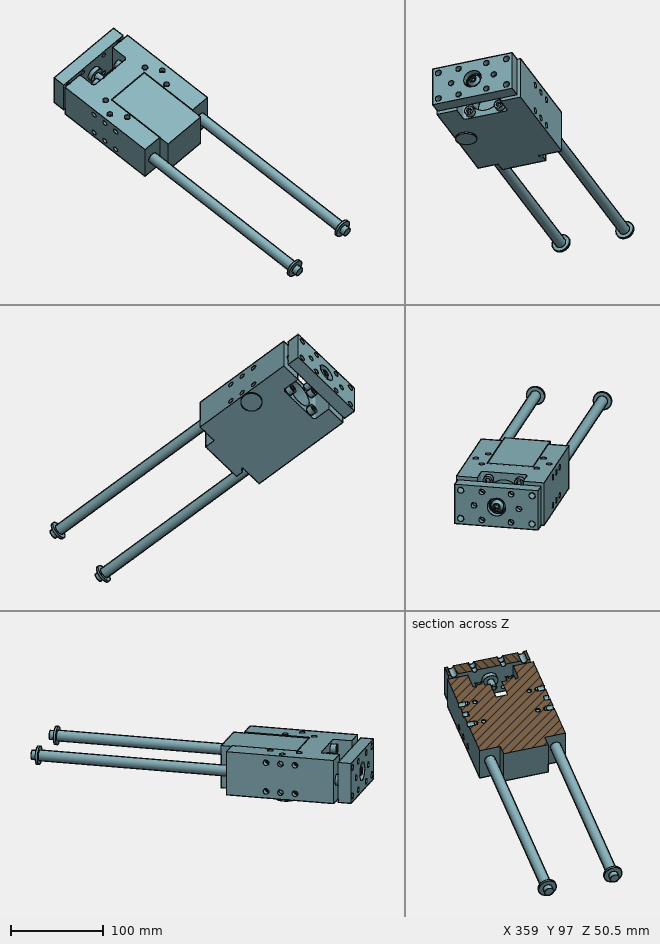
import cadquery as cq
import math

OVERALL_LENGTH = 359.0
OVERLAP = 0.7

HOUSING_FRONT = 18.5
HOUSING_LENGTH = 120.0
HOUSING_WIDTH = 97.0
HOUSING_TOP = 25.0
HOUSING_BOTTOM = -23.7
HOUSING_REAR = HOUSING_FRONT + HOUSING_LENGTH

NOTCH_DEPTH = 21.0
NOTCH_WIDTH = 50.5
NOTCH_CORNER_RADIUS = 3.0
NOTCH_FLOOR = HOUSING_FRONT + NOTCH_DEPTH
BORE_DIAMETER = 34.5
BORE_DEPTH = 21.5

COVER_FRONT = 66.0
COVER_REAR = 150.8
COVER_WIDTH = NOTCH_WIDTH
COVER_DROP = 1.0
COVER_TOP = HOUSING_TOP - COVER_DROP
RELIEF_RADIUS = 3.5
RELIEF_HEIGHT = 5.7

CAP_SCREW_OFFSET = 17.2
CAP_HEAD_DIAMETER = 10.0
CAP_HEAD_HEIGHT = 6.5
HEX_SOCKET_FLATS = 5.0
HEX_SOCKET_DEPTH = 3.2

MOUNT_CENTER_X = 78.3
MOUNT_PITCH = 16.0
SIDE_HOLE_Z = 16.0
TOP_THREAD_Y = 30.5
TOP_DOWEL_Y = 40.5
DOWEL_DIAMETER = 6.0
DOWEL_DEPTH = 5.7
THREAD_DIAMETER = 6.0
THREAD_DEPTH = 8.0
TAP_DRILL_DIAMETER = 4.5
TAP_DRILL_DEPTH = 10.0
DRILL_TIP_HALF_ANGLE = 59.0

FOOT_DIAMETER = 23.0
FOOT_HEIGHT = 1.8
FOOT_CENTER_X = 75.0

ROD_SPACING = 74.0
ROD_DIAMETER = 12.0
ROD_NOSE_DIAMETER = 10.0
COLLAR_DIAMETER = 20.0
COLLAR_FRONT = 350.5
COLLAR_THICKNESS = 2.5

PLATE_THICKNESS = 14.5
PLATE_WIDTH = 92.3
PLATE_HEIGHT = 45.2
PLATE_HOLE_Z = 16.0
CORNER_HOLE_Y = 39.5
CORNER_HOLE_DIAMETER = 7.0
PLATE_THREAD_Y = 16.0
PLATE_THREAD_DIAMETER = 6.0
PLATE_TAP_DIAMETER = 5.0
PLATE_THREAD_DEPTH = 7.2
PLATE_DOWEL_Y = 24.8
PLATE_DOWEL_DIAMETER = 6.0
PLATE_DOWEL_DEPTH = 7.2

COUNTERBORE_DIAMETER = 20.0
COUNTERBORE_DEPTH = 7.2
HEAD_FACE_X = 0.7
HEAD_HEIGHT = 4.3
HEAD_DIAMETER = 14.0
HEAD_FACE_DIAMETER = 8.0
SLEEVE_DIAMETER = 17.0
SLEEVE_REAR = 19.5
STUD_DIAMETER = 8.0
STUD_REAR = 30.5
STUD_CHAMFER = 1.0

SIDES = (-1, 1)
FULL_TURN = 360
HEX_SIDES = 6
CORNERS = [(side_y, side_z) for side_y in SIDES for side_z in SIDES]


def block(x_start, x_end, width, z_bottom, z_top):
    """Box centered on Y = 0."""
    length = x_end - x_start
    height = z_top - z_bottom
    box = cq.Workplane("XY").box(length, width, height, centered=(False, True, False))
    return box.translate((x_start, 0, z_bottom))


def rod_along_x(x_start, x_end, diameter, y=0.0, z=0.0):
    """Cylinder parallel to the X axis."""
    return cq.Workplane("YZ", origin=(x_start, y, z)).circle(diameter / 2).extrude(x_end - x_start)


def hex_socket(x_face, y=0.0, z=0.0):
    """Cutter for a hexagon socket sunk in the +X direction."""
    across_corners = HEX_SOCKET_FLATS / math.cos(math.pi / HEX_SIDES)
    outline = cq.Workplane("YZ", origin=(x_face, y, z)).polygon(HEX_SIDES, across_corners)
    return outline.extrude(HEX_SOCKET_DEPTH)


def drill(face_point, inward, diameter, depth):
    """Cutter for a flat-bottomed hole that enters at face_point."""
    cutter = cq.Solid.makeCylinder(diameter / 2, depth, cq.Vector(*face_point), cq.Vector(*inward))
    return cq.Workplane(cutter)


def threaded_hole(face_point, inward):
    """Cutter for a thread, a narrower tap drill below it and the drill's conical tip."""
    direction = cq.Vector(*inward)
    tip_start = cq.Vector(*face_point) + direction * TAP_DRILL_DEPTH
    tip_height = TAP_DRILL_DIAMETER / 2 / math.tan(math.radians(DRILL_TIP_HALF_ANGLE))
    tip = cq.Solid.makeCone(TAP_DRILL_DIAMETER / 2, 0, tip_height, tip_start, direction)
    return (
        drill(face_point, inward, THREAD_DIAMETER, THREAD_DEPTH)
        .union(drill(face_point, inward, TAP_DRILL_DIAMETER, TAP_DRILL_DEPTH))
        .union(cq.Workplane(tip))
    )


def cut_side_holes(body):
    """Two rows of a dowel hole between two threaded holes, in both side faces."""
    for side, row in CORNERS:
        y = side * HOUSING_WIDTH / 2
        z = row * SIDE_HOLE_Z
        inward = (0, -side, 0)
        body = body.cut(drill((MOUNT_CENTER_X, y, z), inward, DOWEL_DIAMETER, DOWEL_DEPTH))
        for end in SIDES:
            body = body.cut(threaded_hole((MOUNT_CENTER_X + end * MOUNT_PITCH, y, z), inward))
    return body


def cut_top_holes(body):
    """A dowel hole and two threaded holes on each side of the top face."""
    inward = (0, 0, -1)
    for side in SIDES:
        dowel_point = (MOUNT_CENTER_X, side * TOP_DOWEL_Y, HOUSING_TOP)
        body = body.cut(drill(dowel_point, inward, DOWEL_DIAMETER, DOWEL_DEPTH))
        for end in SIDES:
            thread_point = (MOUNT_CENTER_X + end * MOUNT_PITCH, side * TOP_THREAD_Y, HOUSING_TOP)
            body = body.cut(threaded_hole(thread_point, inward))
    return body


def make_cover_overhang():
    """Part of the cover behind the housing, with a round relief low on its -Y side."""
    overhang = block(HOUSING_REAR - OVERLAP, COVER_REAR, COVER_WIDTH, HOUSING_BOTTOM, COVER_TOP)
    relief = (
        cq.Workplane("XY", origin=(HOUSING_REAR, -COVER_WIDTH / 2, HOUSING_BOTTOM))
        .circle(RELIEF_RADIUS)
        .extrude(RELIEF_HEIGHT)
    )
    return overhang.cut(relief)


def make_housing():
    body = block(HOUSING_FRONT, HOUSING_REAR, HOUSING_WIDTH, HOUSING_BOTTOM, HOUSING_TOP)

    notch = block(0, NOTCH_FLOOR, NOTCH_WIDTH, HOUSING_BOTTOM, HOUSING_TOP)
    body = body.cut(notch.edges("|Z and >X").fillet(NOTCH_CORNER_RADIUS))
    body = body.cut(rod_along_x(NOTCH_FLOOR, NOTCH_FLOOR + BORE_DEPTH, BORE_DIAMETER))

    body = body.cut(block(COVER_FRONT, COVER_REAR, COVER_WIDTH, COVER_TOP, HOUSING_TOP))
    body = body.union(make_cover_overhang())

    head_face = NOTCH_FLOOR - CAP_HEAD_HEIGHT
    for side_y, side_z in CORNERS:
        y = side_y * CAP_SCREW_OFFSET
        z = side_z * CAP_SCREW_OFFSET
        head = rod_along_x(head_face, NOTCH_FLOOR + OVERLAP, CAP_HEAD_DIAMETER, y, z)
        body = body.union(head.cut(hex_socket(head_face, y, z)))

    body = cut_top_holes(cut_side_holes(body))

    for side in SIDES:
        body = body.cut(rod_along_x(HOUSING_FRONT, HOUSING_REAR, ROD_DIAMETER, side * ROD_SPACING / 2))

    foot = (
        cq.Workplane("XY", origin=(FOOT_CENTER_X, ROD_SPACING / 2, HOUSING_BOTTOM - FOOT_HEIGHT))
        .circle(FOOT_DIAMETER / 2)
        .extrude(FOOT_HEIGHT + OVERLAP)
    )
    return body.union(foot)


def make_plate():
    plate = block(0, PLATE_THICKNESS, PLATE_WIDTH, -PLATE_HEIGHT / 2, PLATE_HEIGHT / 2)
    for side_y, side_z in CORNERS:
        z = side_z * PLATE_HOLE_Z
        thread_y = side_y * PLATE_THREAD_Y
        plate = plate.cut(rod_along_x(0, PLATE_THICKNESS, CORNER_HOLE_DIAMETER, side_y * CORNER_HOLE_Y, z))
        plate = plate.cut(rod_along_x(0, PLATE_THREAD_DEPTH, PLATE_THREAD_DIAMETER, thread_y, z))
        plate = plate.cut(rod_along_x(0, PLATE_THICKNESS, PLATE_TAP_DIAMETER, thread_y, z))
    for side in SIDES:
        plate = plate.cut(rod_along_x(0, PLATE_DOWEL_DEPTH, PLATE_DOWEL_DIAMETER, side * PLATE_DOWEL_Y))
    return plate.cut(rod_along_x(0, COUNTERBORE_DEPTH, COUNTERBORE_DIAMETER))


def make_center_bolt():
    """Button-headed bolt, turned about the X axis with a hexagon socket in its head."""
    head_base = HEAD_FACE_X + HEAD_HEIGHT
    profile = (
        cq.Workplane("XY")
        .moveTo(HEAD_FACE_X, 0)
        .lineTo(HEAD_FACE_X, HEAD_FACE_DIAMETER / 2)
        .lineTo(head_base, HEAD_DIAMETER / 2)
        .lineTo(head_base, SLEEVE_DIAMETER / 2)
        .lineTo(SLEEVE_REAR, SLEEVE_DIAMETER / 2)
        .lineTo(SLEEVE_REAR, STUD_DIAMETER / 2)
        .lineTo(STUD_REAR - STUD_CHAMFER, STUD_DIAMETER / 2)
        .lineTo(STUD_REAR, STUD_DIAMETER / 2 - STUD_CHAMFER)
        .lineTo(STUD_REAR, 0)
        .close()
    )
    bolt = profile.revolve(FULL_TURN, (0, 0, 0), (1, 0, 0))
    return bolt.cut(hex_socket(HEAD_FACE_X))


def make_guide_rod(y):
    """Rod from the plate to its nose, with a stop collar near the end."""
    rod = rod_along_x(PLATE_THICKNESS - OVERLAP, COLLAR_FRONT + OVERLAP, ROD_DIAMETER, y)
    collar = rod_along_x(COLLAR_FRONT, COLLAR_FRONT + COLLAR_THICKNESS, COLLAR_DIAMETER, y)
    nose = rod_along_x(COLLAR_FRONT, OVERALL_LENGTH, ROD_NOSE_DIAMETER, y)
    return rod.union(collar).union(nose)


def make_slide():
    """Moving unit: front plate, center bolt and both guide rods."""
    slide = make_plate().union(make_center_bolt())
    for side in SIDES:
        slide = slide.union(make_guide_rod(side * ROD_SPACING / 2))
    return slide


housing = make_housing()
slide = make_slide()
result = cq.Compound.makeCompound([housing.val(), slide.val()])